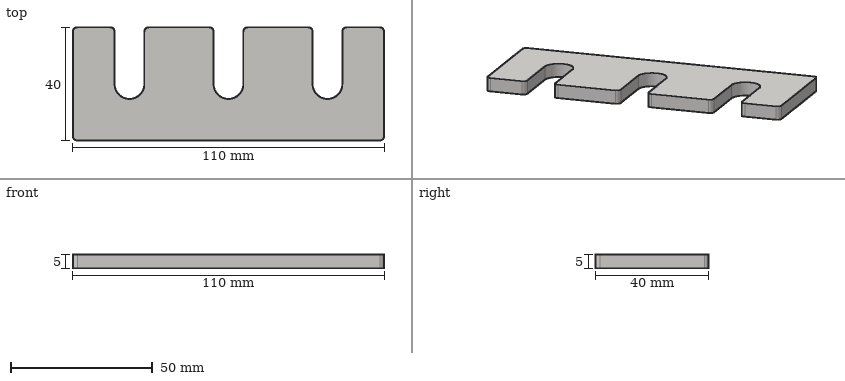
import cadquery as cq

length = 110.0
width = 40.0
thickness = 5.0
corner_radius = 1.5

slot_count = 3
slot_pitch = 35.0
slot_width = 10.5
slot_depth = 25.3
mouth_radius = 1.5

slot_radius = slot_width / 2
back_edge = width / 2
slot_center_y = back_edge - slot_depth + slot_radius


def slot_cutter(center_x):
    """Round-bottomed slot whose mouth flares out tangent to the back edge."""
    left = center_x - slot_radius
    right = center_x + slot_radius
    mouth_y = back_edge - mouth_radius
    return (
        cq.Workplane("XY")
        .moveTo(left - mouth_radius, back_edge)
        .radiusArc((left, mouth_y), mouth_radius)
        .lineTo(left, slot_center_y)
        .threePointArc((center_x, slot_center_y - slot_radius), (right, slot_center_y))
        .lineTo(right, mouth_y)
        .radiusArc((right + mouth_radius, back_edge), mouth_radius)
        .close()
        .extrude(thickness)
    )


plate = (
    cq.Workplane("XY")
    .box(length, width, thickness, centered=(True, True, False))
    .edges("|Z")
    .fillet(corner_radius)
)

for index in range(slot_count):
    slot_x = (index - (slot_count - 1) / 2) * slot_pitch
    plate = plate.cut(slot_cutter(slot_x))

result = plate